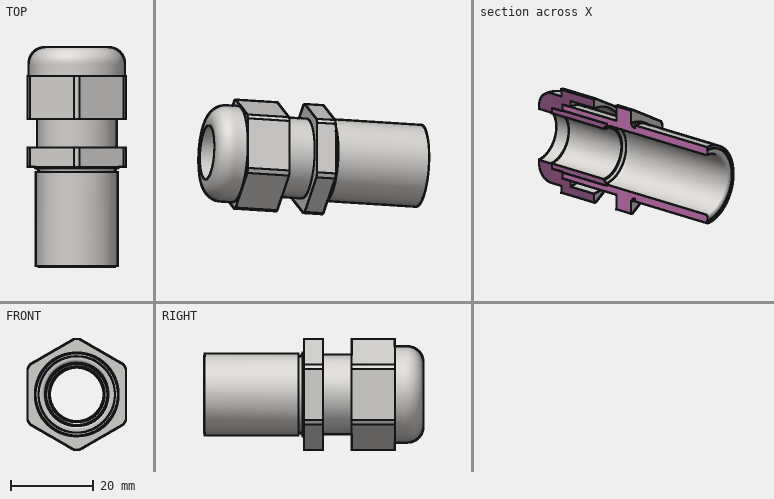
import cadquery as cq
import math


across_flats = 24.0
across_corners = 27.0

tube_end = 23.05
body_hex_start = 24.3
body_hex_end = 29.0
cap_start = 35.9
cap_hex_end = 46.4
cap_end = 53.4

tube_diameter = 20.0
tube_root_diameter = 18.56
tube_step_length = 0.2
collar_diameter = 20.36
collar_length = 0.3
neck_diameter = 19.46
neck_end = 46.0
bore_diameter = 15.4
bore_mouth_radius = 0.8
bore_taper_diameter = 14.9
bore_taper_length = 1.0

seal_start = 32.0
seal_end = 49.4
seal_diameter = 16.0
seal_hole_diameter = 13.0
seal_step_diameter = 13.5
seal_throat_diameter = 14.1
seal_mouth_length = 0.5
seal_throat_length = 0.25

cap_diameter = 23.5
dome_radius = 4.1
cap_recess_diameter = 22.22
cap_recess_depth = 7.5
cap_opening_diameter = 13.2


def revolve_about_axis(section):
    """Close a half section and turn it once around the Y axis."""
    return section.close().revolve(360, (0, 0, 0), (0, 1, 0))


def cylinder(diameter, start, end):
    """Solid cylinder around the Y axis between two stations."""
    return cq.Workplane("XZ", origin=(0, start, 0)).circle(diameter / 2).extrude(start - end)


def hexagon(start, end):
    """Hexagonal prism with flats facing X and its six corners cut back."""
    corner_diameter = across_flats / math.cos(math.pi / 6)
    prism = (
        cq.Workplane("XZ", origin=(0, start, 0))
        .transformed(rotate=(0, 0, 30))
        .polygon(6, corner_diameter)
        .extrude(start - end)
    )
    return prism.intersect(cylinder(across_corners, start, end))


def make_body():
    """Tube with a rounded groove and collar, hexagon and neck, with a stepped bore."""
    root_radius = tube_root_diameter / 2
    tube_radius = tube_diameter / 2
    collar_radius = collar_diameter / 2
    collar_start = body_hex_start - collar_length
    groove_radius = collar_radius - root_radius
    groove_middle = groove_radius * math.sqrt(0.5)
    groove_floor = collar_start - groove_radius
    tube = revolve_about_axis(
        cq.Workplane("XY")
        .lineTo(root_radius, 0)
        .lineTo(root_radius, tube_step_length)
        .lineTo(tube_radius, tube_step_length)
        .lineTo(tube_radius, tube_end)
        .lineTo(root_radius, tube_end)
        .lineTo(root_radius, groove_floor)
        .threePointArc(
            (collar_radius - groove_middle, groove_floor + groove_middle),
            (collar_radius, collar_start),
        )
        .lineTo(collar_radius, body_hex_start)
        .lineTo(0, body_hex_start)
    )
    outside = (
        tube.union(hexagon(body_hex_start, body_hex_end))
        .union(cylinder(neck_diameter, body_hex_end, neck_end))
    )

    bore_radius = bore_diameter / 2
    mouth_radius = bore_radius + bore_mouth_radius
    round_middle = bore_mouth_radius * math.sqrt(0.5)
    bore = revolve_about_axis(
        cq.Workplane("XY")
        .lineTo(mouth_radius, 0)
        .threePointArc(
            (mouth_radius - round_middle, bore_mouth_radius - round_middle),
            (bore_radius, bore_mouth_radius),
        )
        .lineTo(bore_radius, seal_start - bore_taper_length)
        .lineTo(bore_taper_diameter / 2, seal_start)
        .lineTo(seal_diameter / 2, seal_start)
        .lineTo(seal_diameter / 2, neck_end)
        .lineTo(0, neck_end)
    )
    return outside.cut(bore)


def make_seal():
    """Sleeve whose front mouth narrows in two tapers and a flat step to the cable hole."""
    mouth_end = seal_start + seal_mouth_length
    step = mouth_end + seal_throat_length
    return revolve_about_axis(
        cq.Workplane("XY")
        .moveTo(bore_taper_diameter / 2, seal_start)
        .lineTo(seal_diameter / 2, seal_start)
        .lineTo(seal_diameter / 2, seal_end)
        .lineTo(seal_hole_diameter / 2, seal_end)
        .lineTo(seal_hole_diameter / 2, step)
        .lineTo(seal_step_diameter / 2, step)
        .lineTo(seal_throat_diameter / 2, mouth_end)
    )


def make_cap():
    """Hexagonal cap nut with a domed end, a front recess and bores for neck and seal."""
    cap_radius = cap_diameter / 2
    dome_start = cap_end - dome_radius
    dome_middle = dome_radius * math.sqrt(0.5)
    crown = revolve_about_axis(
        cq.Workplane("XY")
        .moveTo(0, cap_hex_end)
        .lineTo(cap_radius, cap_hex_end)
        .lineTo(cap_radius, dome_start)
        .threePointArc(
            (cap_radius - dome_radius + dome_middle, dome_start + dome_middle),
            (cap_radius - dome_radius, cap_end),
        )
        .lineTo(0, cap_end)
    )
    cap = hexagon(cap_start, cap_hex_end).union(crown)
    bores = [
        (cap_recess_diameter, cap_start, cap_start + cap_recess_depth),
        (neck_diameter, cap_start, neck_end),
        (seal_diameter, neck_end, seal_end),
        (cap_opening_diameter, seal_end, cap_end),
    ]
    for diameter, start, end in bores:
        cap = cap.cut(cylinder(diameter, start, end))
    return cap


body = make_body()
seal = make_seal()
cap = make_cap()
result = cq.Compound.makeCompound([body.val(), seal.val(), cap.val()])